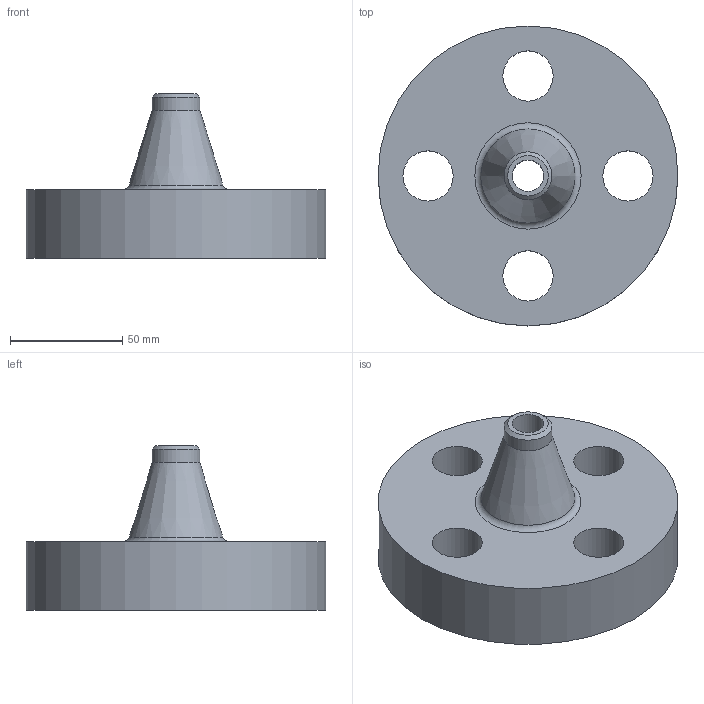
import cadquery as cq

flange_diameter = 133.35
flange_thickness = 30.5
total_height = 73.15

bolt_circle_diameter = 88.9
bolt_hole_diameter = 22.35
bolt_hole_count = 4

hub_base_diameter = 43.0
pipe_diameter = 21.3
bore_diameter = 14.0
pipe_length = 7.4
land_width = 2.0
bevel_height = 1.5
fillet_radius = 2.9


def make_flange():
    """Round disc standing on the XY plane."""
    return cq.Workplane("XY").circle(flange_diameter / 2).extrude(flange_thickness)


def make_hub():
    """Cone with a short straight pipe end, bevelled down to a flat land around the bore."""
    pipe_radius = pipe_diameter / 2
    land_radius = bore_diameter / 2 + land_width
    return (
        cq.Workplane("XZ")
        .moveTo(0, flange_thickness)
        .lineTo(hub_base_diameter / 2, flange_thickness)
        .lineTo(pipe_radius, total_height - pipe_length)
        .lineTo(pipe_radius, total_height - bevel_height)
        .lineTo(land_radius, total_height)
        .lineTo(0, total_height)
        .close()
        .revolve(360, (0, 0, 0), (0, 1, 0))
    )


def fillet_hub_base(body):
    """Blend the cone into the flange face."""
    margin = fillet_radius / 2
    base_edge = cq.selectors.BoxSelector(
        (-hub_base_diameter, -hub_base_diameter, flange_thickness - margin),
        (hub_base_diameter, hub_base_diameter, flange_thickness + margin),
        boundingbox=True,
    )
    return body.edges(base_edge).fillet(fillet_radius)


def cut_bore(body):
    """Open the bore through the full height."""
    bore = cq.Workplane("XY").circle(bore_diameter / 2).extrude(total_height)
    return body.cut(bore)


def cut_bolt_holes(body):
    """Drill the bolt holes evenly around the bolt circle, the first one on +X."""
    holes = (
        cq.Workplane("XY")
        .polarArray(bolt_circle_diameter / 2, 0, 360, bolt_hole_count)
        .circle(bolt_hole_diameter / 2)
        .extrude(flange_thickness)
    )
    return body.cut(holes)


body = make_flange().union(make_hub())
body = fillet_hub_base(body)
body = cut_bore(body)
result = cut_bolt_holes(body)